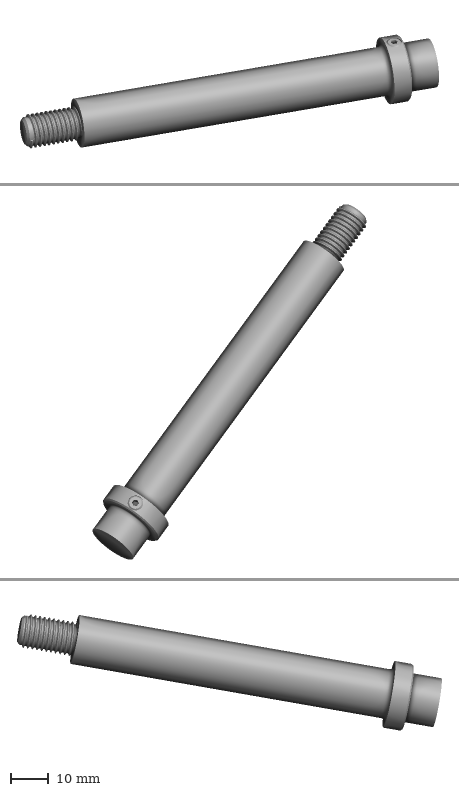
import cadquery as cq
import math

total_length = 113.0
thread_length = 15.0
head_length = 8.0
back_end = total_length / 2
front_end = -total_length / 2
shoulder = front_end + thread_length

rod_radius = 13.2 / 2
collar_radius = 18.0 / 2
collar_width = 5.0
collar_back = back_end - head_length
collar_front = collar_back - collar_width
collar_middle = (collar_back + collar_front) / 2
collar_chamfer = 0.4
front_fillet = 1.0
back_fillet = 0.3

crest_radius = 9.1 / 2
thread_pitch = 1.25
thread_depth = 0.6
thread_embed = 0.1
crest_flat = thread_pitch / 8
ridge_base = thread_pitch * 3 / 4
thread_start = front_end + 1.2
tip_chamfer = 0.65
root_radius = crest_radius - thread_depth

screw_radius = 4.1 / 2
screw_length = 4.0
screw_chamfer = 0.4
screw_bottom = collar_radius - screw_length
socket_width = 1.6
socket_depth = 1.5
socket_corner_diameter = socket_width / math.cos(math.pi / 6)
socket_turn = 30


def make_plain_rod():
    """Turn the head, collar, shaft and thread core about the Y axis."""
    half_profile = (
        cq.Workplane("ZY")
        .moveTo(0, back_end)
        .lineTo(rod_radius, back_end)
        .lineTo(rod_radius, collar_back + back_fillet)
        .radiusArc((rod_radius + back_fillet, collar_back), -back_fillet)
        .lineTo(collar_radius - collar_chamfer, collar_back)
        .lineTo(collar_radius, collar_back - collar_chamfer)
        .lineTo(collar_radius, collar_front)
        .lineTo(rod_radius + front_fillet, collar_front)
        .radiusArc((rod_radius, collar_front - front_fillet), -front_fillet)
        .lineTo(rod_radius, shoulder)
        .lineTo(root_radius, shoulder)
        .lineTo(root_radius, front_end + tip_chamfer)
        .lineTo(root_radius - tip_chamfer, front_end)
        .lineTo(0, front_end)
        .close()
    )
    return half_profile.revolve(360, (0, 0, 0), (0, 1, 0))


def make_thread_ridge():
    """Sweep a right-handed ridge, its foot sunk slightly into the thread core."""
    foot_radius = root_radius - thread_embed
    helix = cq.Wire.makeHelix(thread_pitch, shoulder - thread_start, root_radius)
    section = (
        cq.Workplane("XZ")
        .moveTo(foot_radius, -ridge_base / 2)
        .lineTo(crest_radius, -crest_flat / 2)
        .lineTo(crest_radius, crest_flat / 2)
        .lineTo(foot_radius, ridge_base / 2)
        .close()
    )
    ridge = section.sweep(cq.Workplane(obj=helix), isFrenet=True)
    return ridge.rotate((0, 0, 0), (1, 0, 0), -90).translate((0, thread_start, 0))


def make_screw_blank(length):
    """Make a vertical cylinder standing on the floor of the screw hole."""
    floor = cq.Workplane("XY", origin=(0, collar_middle, screw_bottom))
    return floor.circle(screw_radius).extrude(length)


def make_rod():
    screw_hole = make_screw_blank(2 * screw_length)
    drilled_rod = make_plain_rod().cut(screw_hole)
    return drilled_rod.union(make_thread_ridge(), clean=False)


def make_set_screw():
    blank = make_screw_blank(screw_length).faces(">Z").chamfer(screw_chamfer)
    socket_plane = blank.faces(">Z").workplane().transformed(rotate=(0, 0, socket_turn))
    return socket_plane.polygon(6, socket_corner_diameter).cutBlind(-socket_depth)


rod = make_rod()
set_screw = make_set_screw()

result = cq.Compound.makeCompound([rod.val(), set_screw.val()])